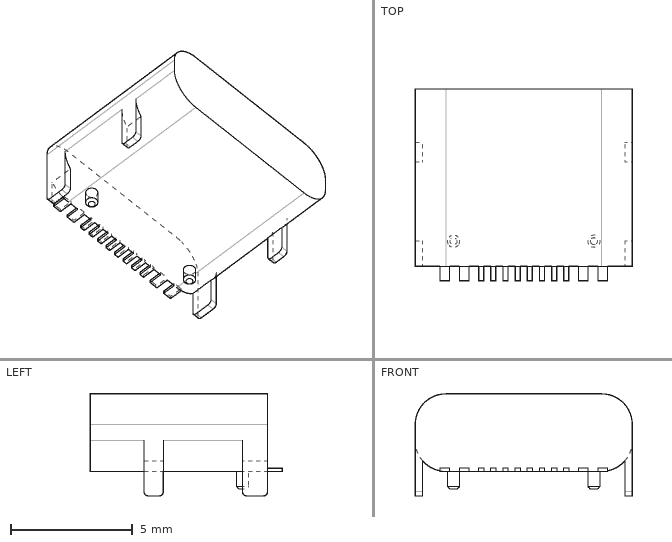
import cadquery as cq

SHELL_WIDTH = 8.94
SHELL_LENGTH = 7.3
SHELL_HEIGHT = 3.2
SHELL_RADIUS = 1.27

LEG_DROP = 1.01
LEG_THICKNESS = 0.31
LEG_CORNER_RADIUS = 0.19
FRONT_LEG_WIDTH = 1.05
REAR_LEG_WIDTH = 0.805
REAR_LEG_START = 4.29

TAIL_LENGTH = 0.6
TAIL_THICKNESS = 0.14
SIGNAL_TAIL_WIDTH = 0.215
SIGNAL_TAIL_COUNT = 8
SIGNAL_TAIL_PITCH = 0.5
POWER_TAIL_WIDTH = 0.4
POWER_TAIL_OFFSETS = (2.45, 3.25)

PEG_DIAMETER = 0.5
PEG_LENGTH = 0.72
PEG_CHAMFER = 0.11
PEG_OFFSET = 2.89
PEG_SETBACK = 1.04

SIDES = (-1, 1)


def make_shell():
    return (
        cq.Workplane("XY")
        .box(SHELL_WIDTH, SHELL_LENGTH, SHELL_HEIGHT)
        .edges("|Y")
        .fillet(SHELL_RADIUS)
        .translate((0, SHELL_LENGTH / 2, SHELL_HEIGHT / 2))
    )


def make_leg(side, start, width):
    """Leg on one side, from where the lower shell corner starts to curve down to its tip."""
    height = SHELL_RADIUS + LEG_DROP
    center_x = side * (SHELL_WIDTH - LEG_THICKNESS) / 2
    return (
        cq.Workplane("XY")
        .box(LEG_THICKNESS, width, height)
        .edges("|X and <Z")
        .fillet(LEG_CORNER_RADIUS)
        .translate((center_x, start + width / 2, SHELL_RADIUS - height / 2))
    )


def make_tail(center_x, width):
    """Contact tail flush with the shell bottom and rooted in the front face."""
    return cq.Workplane("XY").box(width, TAIL_LENGTH, TAIL_THICKNESS).translate(
        (center_x, -TAIL_LENGTH / 2, TAIL_THICKNESS / 2)
    )


def make_peg(side):
    return (
        cq.Workplane("XY")
        .center(side * PEG_OFFSET, PEG_SETBACK)
        .circle(PEG_DIAMETER / 2)
        .extrude(-PEG_LENGTH)
        .faces("<Z")
        .chamfer(PEG_CHAMFER)
    )


result = make_shell()

for side in SIDES:
    result = result.union(make_leg(side, 0, FRONT_LEG_WIDTH))
    result = result.union(make_leg(side, REAR_LEG_START, REAR_LEG_WIDTH))
    result = result.union(make_peg(side))
    for offset in POWER_TAIL_OFFSETS:
        result = result.union(make_tail(side * offset, POWER_TAIL_WIDTH))

for index in range(SIGNAL_TAIL_COUNT):
    tail_x = (index - (SIGNAL_TAIL_COUNT - 1) / 2) * SIGNAL_TAIL_PITCH
    result = result.union(make_tail(tail_x, SIGNAL_TAIL_WIDTH))